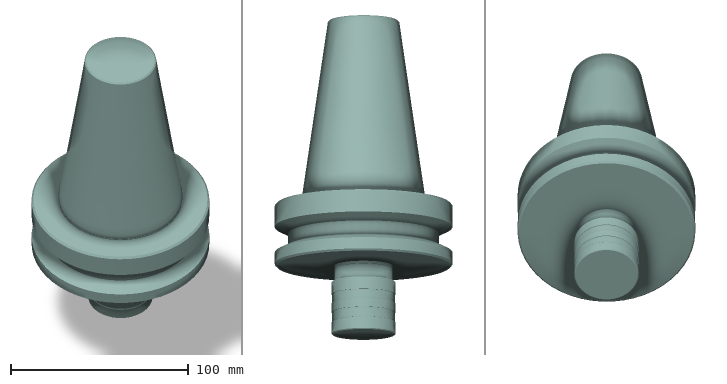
import cadquery as cq

total_height = 178.8
flange_bottom = 39.2
flange_height = 35.0
flange_top = flange_bottom + flange_height

gauge_radius = 34.9
gauge_gap = 2.7
taper_ratio = 7 / 24
taper_tip_chamfer = 0.7
gauge_band_height = 1.0
foot_height = 0.5
relief_depth = 0.2
gauge_height = flange_top + gauge_gap
taper_tip_radius = gauge_radius - (total_height - gauge_height) * taper_ratio / 2

flange_radius = 49.97
flange_chamfer = 1.0
groove_root_radius = 42.4
groove_upper_edge = 61.3
groove_upper_root = 57.5
groove_lower_root = 50.5
groove_lower_edge = 46.7

neck_radius = 16.3
shoulder_radius = 16.5
shoulder_height = 1.6
shoulder_chamfer = 0.2
land_radius = 17.7
collar_radius = 18.0
collar_chamfer = 0.5
upper_collar = (22.9, 30.0)
middle_collar = (12.7, 17.5)
lower_collar = (0.0, 7.2)


def cylinder(radius, bottom, top):
    """Solid cylinder about Z between two heights."""
    return cq.Workplane("XY").workplane(offset=bottom).circle(radius).extrude(top - bottom)


def make_shank():
    """Taper, gauge band, shallow relief and foot above the flange."""
    foot_top = flange_top + foot_height
    band_bottom = gauge_height - gauge_band_height
    relief_radius = gauge_radius - relief_depth
    profile = [
        (0, flange_top),
        (gauge_radius, flange_top),
        (gauge_radius, foot_top),
        (relief_radius, foot_top),
        (relief_radius, band_bottom),
        (gauge_radius, band_bottom),
        (gauge_radius, gauge_height),
        (taper_tip_radius, total_height),
        (0, total_height),
    ]
    shank = cq.Workplane("XZ").polyline(profile).close().revolve(360, (0, 0), (0, 1))
    return shank.faces(">Z").edges().chamfer(taper_tip_chamfer)


def make_flange():
    """Round flange with chamfered rims and the gripper groove."""
    flange = cylinder(flange_radius, flange_bottom, flange_top)
    flange = flange.faces("<Z or >Z").edges().chamfer(flange_chamfer)
    groove_profile = [
        (flange_radius, groove_lower_edge),
        (groove_root_radius, groove_lower_root),
        (groove_root_radius, groove_upper_root),
        (flange_radius, groove_upper_edge),
    ]
    groove = cq.Workplane("XZ").polyline(groove_profile).close().revolve(360, (0, 0), (0, 1))
    return flange.cut(groove)


def make_stem():
    """Neck and grooved plug below the flange."""
    stem = cylinder(neck_radius, upper_collar[1], flange_bottom)
    shoulder = cylinder(shoulder_radius, flange_bottom - shoulder_height, flange_bottom)
    stem = stem.union(shoulder.faces("<Z").edges().chamfer(shoulder_chamfer))
    stem = stem.union(cylinder(land_radius, lower_collar[1], upper_collar[0]))
    top_collar = cylinder(collar_radius, *upper_collar)
    stem = stem.union(top_collar.faces(">Z").edges().chamfer(collar_chamfer))
    stem = stem.union(cylinder(collar_radius, *middle_collar))
    bottom_collar = cylinder(collar_radius, *lower_collar)
    return stem.union(bottom_collar.faces("<Z or >Z").edges().chamfer(collar_chamfer))


result = make_flange().union(make_shank()).union(make_stem())